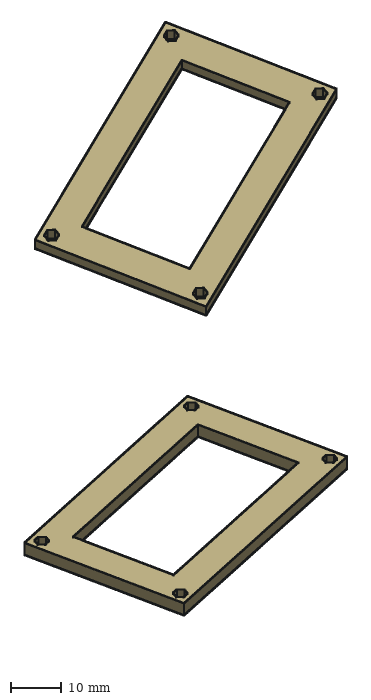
import cadquery as cq
import math

width = 37.95
length = 59.8
thickness = 3.0
border = 7.05

hole_inset = 2.5
hole_across_flats = 2.6
hole_across_corners = hole_across_flats / math.cos(math.pi / 6)

plate = cq.Workplane("XY").box(width, length, thickness)

window = cq.Workplane("XY").box(width - 2 * border, length - 2 * border, thickness)

corner_holes = (
    cq.Workplane("XY", origin=(0, 0, -thickness / 2))
    .rect(width - 2 * hole_inset, length - 2 * hole_inset, forConstruction=True)
    .vertices()
    .eachpoint(
        cq.Workplane("XY")
        .polygon(6, hole_across_corners)
        .extrude(thickness)
        .rotate((0, 0, 0), (0, 0, 1), 90)
        .val()
    )
)

result = plate.cut(window).cut(corner_holes)